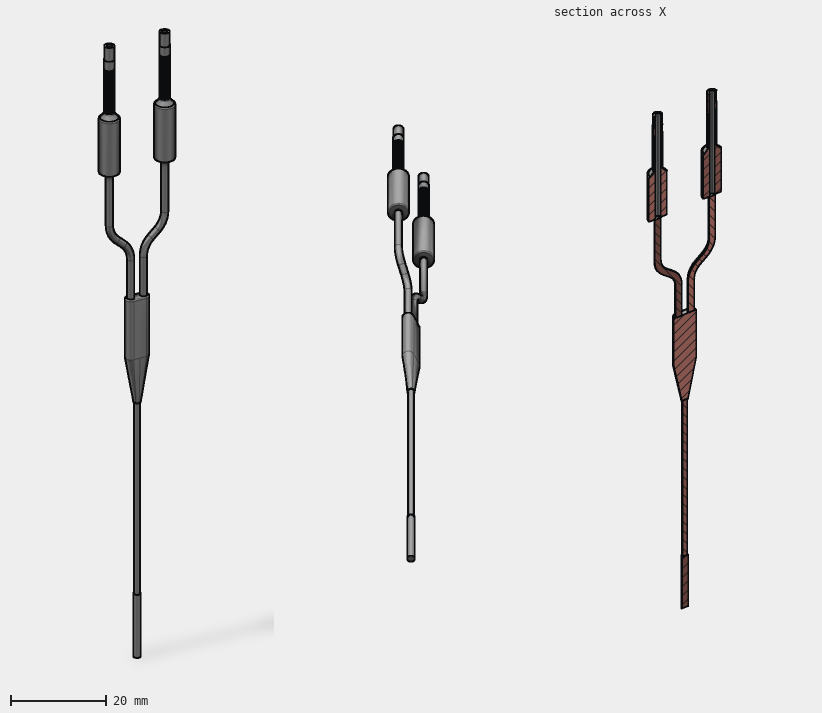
import cadquery as cq
import math

TOTAL_HEIGHT = 146.5
CONE_BOTTOM = 60.3
BLOCK_BOTTOM = 71.3
BLOCK_TOP = 85.4
LOWER_BEND_START = 94.6
BARREL_BOTTOM = 116.4
BARREL_TOP = 129.5

SPLITTER_THICKNESS = 2.5
BRANCH_SPACING = 3.1
SPLITTER_WIDTH = BRANCH_SPACING + SPLITTER_THICKNESS
SPLITTER_TOP_FILLET = 0.3
CONE_END_DIAMETER = 1.6

CABLE_DIAMETER = 1.3
SLEEVE_DIAMETER = 1.6
SLEEVE_LENGTH = 15.0

WIRE_DIAMETER = 1.6
BEND_RADIUS = 5.3
BEND_ANGLE = 48.0

BARREL_DIAMETER = 4.5
TOTAL_WIDTH = 17.9
CONNECTOR_OFFSET = (TOTAL_WIDTH - BARREL_DIAMETER) / 2
BARREL_FILLET = 0.3
SHOULDER_HEIGHT = 1.0
PIN_DIAMETER = 2.3
PIN_BOTTOM = BARREL_TOP + SHOULDER_HEIGHT
THREAD_PITCH = 0.5
THREAD_DEPTH = 0.1
THREAD_GROOVES = 24
TIP_DIAMETER = 2.2
TIP_LENGTH = 3.2
BORE_DIAMETER = 1.2


def make_splitter():
    """Round-ended block with a cone that tapers down to the cable."""
    block = (
        cq.Workplane("XY", origin=(0, 0, BLOCK_BOTTOM))
        .slot2D(SPLITTER_WIDTH, SPLITTER_THICKNESS, 90)
        .extrude(BLOCK_TOP - BLOCK_BOTTOM)
        .faces(">Z")
        .fillet(SPLITTER_TOP_FILLET)
    )
    cone = (
        cq.Workplane("XY", origin=(0, 0, BLOCK_BOTTOM))
        .slot2D(SPLITTER_WIDTH, SPLITTER_THICKNESS, 90)
        .workplane(offset=CONE_BOTTOM - BLOCK_BOTTOM)
        .circle(CONE_END_DIAMETER / 2)
        .loft(ruled=True)
    )
    return block.union(cone)


def make_cable():
    """Round cable between the end sleeve and the splitter."""
    cable_length = CONE_BOTTOM - SLEEVE_LENGTH
    return (
        cq.Workplane("XY", origin=(0, 0, SLEEVE_LENGTH))
        .circle(CABLE_DIAMETER / 2)
        .extrude(cable_length)
    )


def make_sleeve():
    """Short round sleeve at the free end of the cable."""
    return cq.Workplane("XY").circle(SLEEVE_DIAMETER / 2).extrude(SLEEVE_LENGTH)


def make_wire(side):
    """Branch wire on the given side (+1 or -1 in Y), bent outward and back upright."""
    angle = math.radians(BEND_ANGLE)
    inner = BRANCH_SPACING / 2
    bend_out = BEND_RADIUS * (1 - math.cos(angle))
    bend_rise = BEND_RADIUS * math.sin(angle)
    half_out = BEND_RADIUS * (1 - math.cos(angle / 2))
    half_rise = BEND_RADIUS * math.sin(angle / 2)

    slope_out = CONNECTOR_OFFSET - inner - 2 * bend_out
    slope_rise = slope_out / math.tan(angle)
    slope_start = (inner + bend_out, LOWER_BEND_START + bend_rise)
    slope_end = (slope_start[0] + slope_out, slope_start[1] + slope_rise)
    upper_bend_end = slope_end[1] + bend_rise

    def at(y, z):
        return (side * y, z)

    path = (
        cq.Workplane("YZ")
        .moveTo(*at(inner, BLOCK_TOP))
        .lineTo(*at(inner, LOWER_BEND_START))
        .threePointArc(at(inner + half_out, LOWER_BEND_START + half_rise), at(*slope_start))
        .lineTo(*at(*slope_end))
        .threePointArc(
            at(CONNECTOR_OFFSET - half_out, upper_bend_end - half_rise),
            at(CONNECTOR_OFFSET, upper_bend_end),
        )
        .lineTo(*at(CONNECTOR_OFFSET, BARREL_BOTTOM))
    )
    section = cq.Workplane("XY", origin=(0, side * inner, BLOCK_TOP)).circle(WIRE_DIAMETER / 2)
    return section.sweep(path)


def make_connector(side):
    """Barrel with rounded rims, carrying a grooved pin with a plain collar and a narrower tip."""
    bore_radius = BORE_DIAMETER / 2
    barrel_radius = BARREL_DIAMETER / 2
    rim_radius = barrel_radius - BARREL_FILLET
    pin_radius = PIN_DIAMETER / 2
    tip_radius = TIP_DIAMETER / 2
    tip_bottom = TOTAL_HEIGHT - TIP_LENGTH

    outline = (
        cq.Workplane("XZ")
        .moveTo(bore_radius, BARREL_BOTTOM)
        .lineTo(rim_radius, BARREL_BOTTOM)
        .radiusArc((barrel_radius, BARREL_BOTTOM + BARREL_FILLET), -BARREL_FILLET)
        .lineTo(barrel_radius, BARREL_TOP - BARREL_FILLET)
        .radiusArc((rim_radius, BARREL_TOP), -BARREL_FILLET)
        .lineTo(pin_radius, PIN_BOTTOM)
    )
    for groove in range(THREAD_GROOVES):
        groove_bottom = PIN_BOTTOM + groove * THREAD_PITCH
        outline = outline.lineTo(pin_radius - THREAD_DEPTH, groove_bottom + THREAD_PITCH / 2)
        outline = outline.lineTo(pin_radius, groove_bottom + THREAD_PITCH)
    return (
        outline.lineTo(pin_radius, tip_bottom)
        .lineTo(tip_radius, tip_bottom)
        .lineTo(tip_radius, TOTAL_HEIGHT)
        .lineTo(bore_radius, TOTAL_HEIGHT)
        .close()
        .revolve(360, (0, 0, 0), (0, 1, 0))
        .translate((0, side * CONNECTOR_OFFSET, 0))
    )


splitter = make_splitter()
cable = make_cable()
sleeve = make_sleeve()
bodies = [splitter.val(), cable.val(), sleeve.val()]
for side in (1, -1):
    wire = make_wire(side)
    connector = make_connector(side)
    bodies += [wire.val(), connector.val()]

result = cq.Compound.makeCompound(bodies)